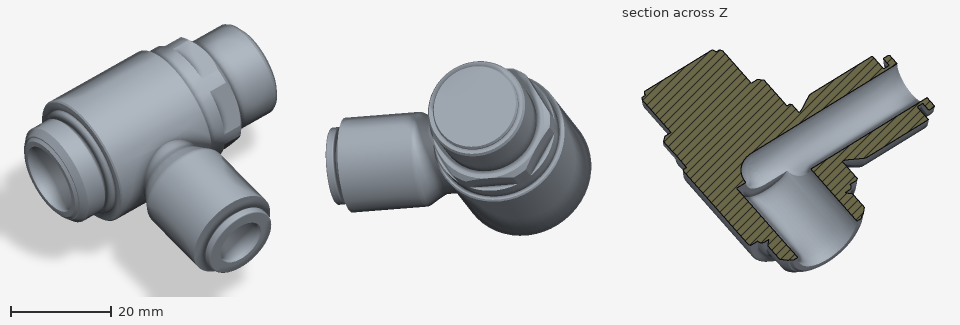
import cadquery as cq
import math


overall_length = 50.26
cap_end_y = -20.6
cap_nose_y = cap_end_y + 0.55
cap_bevel_y = -18.8
cap_back_y = -14.7
ring_end_y = -13.7
body_start_y = -12.7
body_end_y = 10.0
collar_end_y = 13.7
hex_end_y = 18.6
thread_end_y = cap_end_y + overall_length
thread_shoulder_y = 28.8

body_radius = 13.5
body_chamfer = 0.3
ring_radius = 11.5
ring_fillet = 0.95
cap_radius = 10.55
groove_radius = cap_radius - (ring_end_y - cap_back_y)
cap_bevel_end_radius = cap_radius - (cap_bevel_y - cap_nose_y)
cap_nose_radius = 9.0
cap_nose_end_radius = cap_nose_radius - (cap_nose_y - cap_end_y)
collar_radius = 12.5
thread_radius = 10.0
thread_chamfer_length = 0.6
thread_chamfer_depth = 0.35
thread_tip_radius = 8.75
thread_tip_chamfer_length = 0.55
thread_tip_chamfer_depth = 0.3
bore_radius = 7.3
bore_floor_y = 0.0

hex_sides = 6
hex_across_flats = 23.0
hex_chamfer_length = 0.9

branch_root_radius = 7.3
branch_radius = 9.5
branch_cone_start_x = 13.87
branch_cone_angle = math.radians(30)
branch_cone_length = (branch_radius - branch_root_radius) / math.tan(branch_cone_angle)
branch_cone_end_x = branch_cone_start_x + branch_cone_length
branch_cone_fillet = 1.5
branch_end_x = 33.3
branch_bore_radius = 5.0
neck_radius = 5.7
flange_radius = 7.75
overall_width = 49.7
flange_end_x = overall_width - body_radius
flange_thickness = 1.6
flange_fillet = 0.3


def turned_about_y(points):
    """Revolve a closed (radius, y) outline about the main axis."""
    return cq.Workplane("XY").polyline(points).close().revolve(360, (0, 0), (0, 1))


def rod_along_y(radius, start_y, end_y):
    """Solid cylinder about the main axis."""
    return cq.Workplane("XZ", origin=(0, start_y, 0)).circle(radius).extrude(start_y - end_y)


def rod_along_x(radius, start_x, end_x):
    """Solid cylinder about the branch axis."""
    return cq.Workplane("YZ", origin=(start_x, 0, 0)).circle(radius).extrude(end_x - start_x)


def make_body():
    """Banjo barrel with a small chamfer at each end and a smooth collar behind it."""
    barrel = rod_along_y(body_radius, body_start_y, body_end_y)
    barrel = barrel.faces("<Y or >Y").chamfer(body_chamfer)
    collar = rod_along_y(collar_radius, body_end_y, collar_end_y)
    return barrel.union(collar)


def make_cap():
    """Round-edged ring, groove and bevelled cap on the -Y end."""
    ring = rod_along_y(ring_radius, ring_end_y, body_start_y)
    ring = ring.faces("<Y").edges().fillet(ring_fillet)
    cap = turned_about_y([
        (0, cap_end_y),
        (cap_nose_end_radius, cap_end_y),
        (cap_nose_radius, cap_nose_y),
        (cap_bevel_end_radius, cap_nose_y),
        (cap_radius, cap_bevel_y),
        (cap_radius, cap_back_y),
        (groove_radius, ring_end_y),
        (0, ring_end_y),
    ])
    return ring.union(cap)


def make_hexagon():
    """Hexagon with flats facing +Z and -Z, its corners turned down to the collar radius."""
    hex_length = hex_end_y - collar_end_y
    across_corners = hex_across_flats / math.cos(math.pi / hex_sides)
    prism = (
        cq.Workplane("XZ", origin=(0, collar_end_y, 0))
        .polygon(hex_sides, across_corners)
        .extrude(-hex_length)
    )
    turned_corners = turned_about_y([
        (0, collar_end_y),
        (collar_radius, collar_end_y),
        (collar_radius, hex_end_y - hex_chamfer_length),
        (hex_across_flats / 2, hex_end_y),
        (0, hex_end_y),
    ])
    return prism.intersect(turned_corners)


def make_thread_end():
    """Plain stud with a chamfered shoulder and a smaller chamfered tip on the +Y end."""
    return turned_about_y([
        (0, hex_end_y),
        (thread_radius, hex_end_y),
        (thread_radius, thread_shoulder_y - thread_chamfer_length),
        (thread_radius - thread_chamfer_depth, thread_shoulder_y),
        (thread_tip_radius, thread_shoulder_y),
        (thread_tip_radius, thread_end_y - thread_tip_chamfer_length),
        (thread_tip_radius - thread_tip_chamfer_depth, thread_end_y),
        (0, thread_end_y),
    ])


def make_branch():
    """Root, blended cone and sleeve of the push-in port, then its neck and release flange."""
    sleeve = (
        cq.Workplane("XY")
        .polyline([
            (0, 0),
            (0, branch_root_radius),
            (branch_cone_start_x, branch_root_radius),
            (branch_cone_end_x, branch_radius),
            (branch_end_x, branch_radius),
            (branch_end_x, 0),
        ])
        .close()
        .revolve(360, (0, 0), (1, 0))
    )
    cone_edges = cq.selectors.BoxSelector(
        (branch_cone_start_x - branch_cone_fillet, -body_radius, -body_radius),
        (branch_cone_end_x + branch_cone_fillet, body_radius, body_radius),
        boundingbox=True,
    )
    sleeve = sleeve.edges(cone_edges).edges("%CIRCLE").fillet(branch_cone_fillet)
    neck = rod_along_x(neck_radius, branch_end_x, flange_end_x)
    flange = rod_along_x(flange_radius, flange_end_x - flange_thickness, flange_end_x)
    flange = flange.edges().fillet(flange_fillet)
    return sleeve.union(neck).union(flange)


def make_passages():
    """Flat-bottomed main bore meeting a branch bore with a spherical end."""
    main_bore = rod_along_y(bore_radius, cap_end_y, bore_floor_y)
    branch_bore = rod_along_x(branch_bore_radius, 0, flange_end_x)
    rounded_end = cq.Workplane("XY").sphere(branch_bore_radius)
    return main_bore.union(branch_bore).union(rounded_end)


result = (
    make_body()
    .union(make_cap())
    .union(make_hexagon())
    .union(make_thread_end())
    .union(make_branch())
    .cut(make_passages())
)